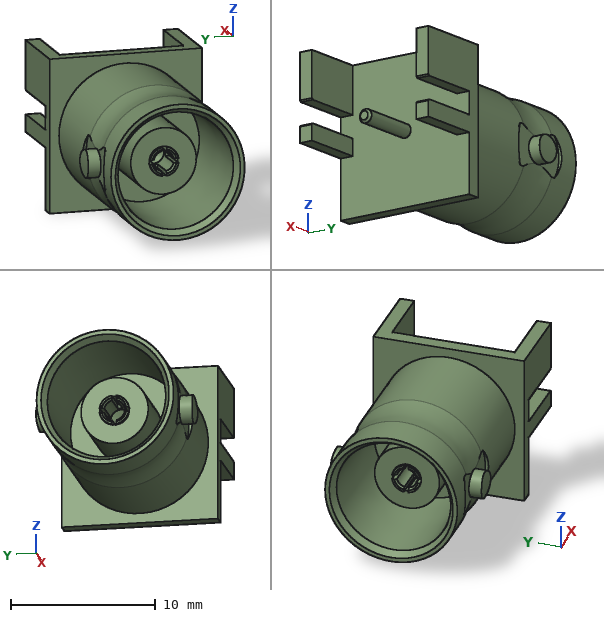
import cadquery as cq

length = 18.22
flange_size = 11.02
half_size = flange_size / 2
flange_front = 12.4
wall = 1.04
flange_back = flange_front + wall

barrel_diameter = 9.67
barrel_radius = barrel_diameter / 2
stud_x = 4.2
groove_width = 3.28
groove_depth = 0.15
mouth_radius = 4.52
mouth_chamfer = 0.53
bore_front_radius = 4.17
bore_floor_radius = 4.08
bore_depth = 8.38

stud_radius = 1.0
flat_radius = 2.51
flat_offset = 4.6

insulator_radius = 2.37
insulator_face = 3.43
socket_face = 3.2
socket_radius = 1.04
socket_mouth_radius = 0.87
socket_bore_radius = 0.73
socket_chamfer = 0.15
socket_depth = 2.55
socket_cone = 0.55
slit_width = 0.33
slit_depth = 2.19

leg_bottom = 1.93
leg_chamfer = 0.11
pin_radius = 0.51
pin_chamfer = 0.18
bar_top = 0.24
bar_bottom = -1.04


def revolve_x(profile):
    """Revolve a profile given as (X, radius) in the XY plane about the X axis."""
    return profile.close().revolve(360, (0, 0, 0), (1, 0, 0))


def x_cylinder(radius, start, end):
    return cq.Workplane("YZ", origin=(start, 0, 0)).circle(radius).extrude(end - start)


def y_cylinder(radius, start, end):
    """Cylinder along Y, centred on the studs."""
    plane = cq.Plane(origin=(stud_x, start, 0), xDir=(1, 0, 0), normal=(0, 1, 0))
    return cq.Workplane(plane).circle(radius).extrude(end - start)


def box(x_range, y_range, z_range):
    corner = (x_range[0], y_range[0], z_range[0])
    size = [high - low for low, high in (x_range, y_range, z_range)]
    return cq.Workplane("XY", origin=corner).box(*size, centered=False)


def make_barrel():
    """Solid barrel with a shallow arc groove."""
    return revolve_x(
        cq.Workplane("XY")
        .lineTo(0, barrel_radius)
        .lineTo(stud_x - groove_width / 2, barrel_radius)
        .threePointArc(
            (stud_x, barrel_radius - groove_depth),
            (stud_x + groove_width / 2, barrel_radius),
        )
        .lineTo(flange_front, barrel_radius)
        .lineTo(flange_front, 0)
    )


def make_bore():
    """Chamfered, slightly tapered bore."""
    return revolve_x(
        cq.Workplane("XY")
        .lineTo(0, mouth_radius)
        .lineTo(mouth_chamfer, bore_front_radius)
        .lineTo(bore_depth, bore_floor_radius)
        .lineTo(bore_depth, 0)
    )


def make_studs():
    """Round studs with ends curved about the barrel axis."""
    stud = y_cylinder(stud_radius, -half_size, half_size)
    return stud.intersect(x_cylinder(half_size, 0, flange_front))


def make_insulator():
    """Insulator and protruding contact with its cone-bottomed socket and four slits."""
    bottom = socket_face + socket_depth
    hole = revolve_x(
        cq.Workplane("XY")
        .moveTo(socket_face, 0)
        .lineTo(socket_face, socket_mouth_radius)
        .lineTo(socket_face + socket_chamfer, socket_bore_radius)
        .lineTo(bottom, socket_bore_radius)
        .lineTo(bottom + socket_cone, 0)
    )
    slit_x = (socket_face, socket_face + slit_depth)
    across = (-socket_radius, socket_radius)
    narrow = (-slit_width / 2, slit_width / 2)
    slits = box(slit_x, across, narrow).union(box(slit_x, narrow, across))
    slits = slits.intersect(x_cylinder(socket_radius, *slit_x))
    insulator = x_cylinder(insulator_radius, insulator_face, flange_front)
    insulator = insulator.union(x_cylinder(socket_radius, socket_face, flange_front))
    return insulator.cut(hole).cut(slits)


def make_mount():
    """Square flange with two upper legs, two lower bars and the contact pin."""
    side = (-half_size, half_size)
    mount = box((flange_front, flange_back), side, side)
    legs_x = (flange_back, length)
    for inner, outer in ((-half_size, -half_size + wall), (half_size - wall, half_size)):
        leg = box(legs_x, (inner, outer), (leg_bottom, half_size))
        leg = leg.edges(">X and <Z").chamfer(leg_chamfer)
        mount = mount.union(leg)
        bar = box(legs_x, (inner, outer), (bar_bottom, bar_top))
        bar = bar.edges(">X and >Z").chamfer(leg_chamfer)
        mount = mount.union(bar)
    pin = x_cylinder(pin_radius, flange_front, length).faces(">X").chamfer(pin_chamfer)
    return mount.union(pin)


barrel = make_barrel()
for near, far in ((-half_size, -flat_offset), (flat_offset, half_size)):
    barrel = barrel.cut(y_cylinder(flat_radius, near, far))
barrel = barrel.union(make_studs()).cut(make_bore())

result = barrel.union(make_insulator()).union(make_mount())